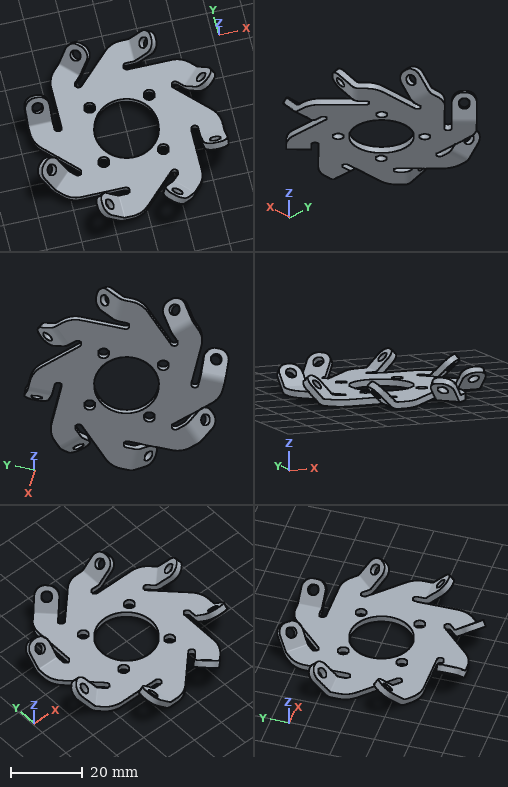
import cadquery as cq
import math

arm_count = 8
thickness = 2.0
arm_width = 7.0
slot_width = 2.0
arm_outer = 26.45
arm_inner = arm_outer - arm_width
slot_inner = arm_inner - slot_width
slot_tip = -3.5
corner_radius = 7.0

bore_diameter = 18.05
screw_diameter = 3.1
screw_spacing = 17.05

fold_angle = 45
fold_line = -6.9
fold_radius = 0.75
tab_reach = 7.9
tab_corner_radius = 3.0
tab_hole_diameter = 3.0
tab_hole_to_tip = 3.2

fold_setback = fold_radius * math.tan(math.radians(fold_angle / 2))
fold_start = fold_line + fold_setback
fold_axis_height = thickness + fold_radius
tab_length = tab_reach - fold_setback
arm_middle = (arm_inner + arm_outer) / 2
pitch = 360 / arm_count


def rotated(point, degrees):
    """Turn a plan point about the centre of the plate."""
    angle = math.radians(degrees)
    x, y = point
    return (
        x * math.cos(angle) - y * math.sin(angle),
        x * math.sin(angle) + y * math.cos(angle),
    )


def make_plate():
    """Plate up to the start of each bend, outlined clockwise arm by arm."""
    half_pitch = math.radians(pitch / 2)
    corner_y = slot_inner / math.sin(2 * half_pitch) - arm_outer / math.tan(2 * half_pitch)
    center_x = arm_outer - corner_radius
    center_y = corner_y - corner_radius * math.tan(half_pitch)

    def corner_point(angle):
        return (
            center_x + corner_radius * math.cos(angle),
            center_y + corner_radius * math.sin(angle),
        )

    slot_end_y = slot_tip - slot_width / 2
    slot_middle = (slot_inner + arm_inner) / 2

    outline = cq.Workplane("XY").moveTo(*corner_point(2 * half_pitch))
    for index in range(arm_count):
        turn = -index * pitch
        if index > 0:
            outline = outline.lineTo(*rotated(corner_point(2 * half_pitch), turn))
        outline = (
            outline.threePointArc(
                rotated(corner_point(half_pitch), turn),
                rotated(corner_point(0), turn),
            )
            .lineTo(*rotated((arm_outer, fold_start), turn))
            .lineTo(*rotated((arm_inner, fold_start), turn))
            .lineTo(*rotated((arm_inner, slot_end_y), turn))
            .threePointArc(
                rotated((slot_middle, slot_tip), turn),
                rotated((slot_inner, slot_end_y), turn),
            )
        )
    return outline.close().extrude(thickness)


def make_tab():
    """Bend and raised tab of the arm on the +X side."""
    bend = (
        cq.Workplane("XZ", origin=(arm_middle, fold_start, thickness / 2))
        .rect(arm_width, thickness)
        .revolve(
            fold_angle,
            (arm_width, fold_axis_height - thickness / 2),
            (-arm_width, fold_axis_height - thickness / 2),
        )
    )
    flat = (
        cq.Workplane("XY")
        .box(arm_width, tab_length, thickness, centered=(True, False, False))
        .translate((arm_middle, fold_start - tab_length, 0))
        .edges("|Z and <Y")
        .fillet(tab_corner_radius)
    )
    hole = (
        cq.Workplane("XY")
        .center(arm_middle, fold_start - tab_length + tab_hole_to_tip)
        .circle(tab_hole_diameter / 2)
        .extrude(thickness)
    )
    raised = flat.cut(hole).rotate(
        (0, fold_start, fold_axis_height),
        (1, fold_start, fold_axis_height),
        -fold_angle,
    )
    return bend.union(raised)


def make_plate_holes():
    """Central bore and the four screw holes around it."""
    bore = cq.Workplane("XY").circle(bore_diameter / 2).extrude(thickness)
    screws = (
        cq.Workplane("XY")
        .rect(screw_spacing, screw_spacing, forConstruction=True)
        .vertices()
        .circle(screw_diameter / 2)
        .extrude(thickness)
    )
    return bore.union(screws)


result = make_plate().cut(make_plate_holes())
tab = make_tab()
for index in range(arm_count):
    result = result.union(tab.rotate((0, 0, 0), (0, 0, 1), index * pitch))